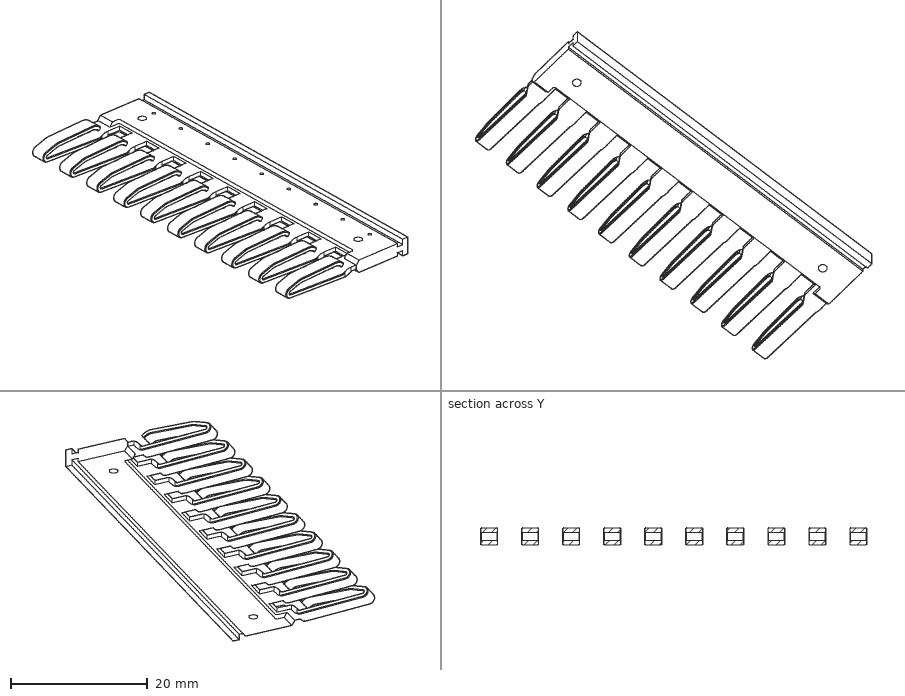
import math

import cadquery as cq


FINGER_COUNT = 10
PITCH = 6.0
LENGTH = 57.5
DEPTH = 23.19

RAIL_DEPTH = 1.0
RAIL_HEIGHT = 2.8
NECK_HEIGHT = 1.0
BODY_REAR = 2.0
BODY_HEIGHT = 2.1
BODY_FRONT = 8.2
END_BLOCK_WIDTH = 2.7
END_BLOCK_FRONT = 10.0
END_CHAMFER_DEPTH = 0.5
END_NOSE_HEIGHT = 0.7
END_CORNER_RADIUS = 0.3

MARK_DIAMETER = 0.5
MARK_DEPTH = 0.5
MARK_SETBACK = 3.25
THROUGH_DIAMETER = 1.25
THROUGH_SETBACK = 5.5

METAL = 0.7
PLATE_FRONT = 8.7
TAB_WIDTH = 3.3
TAPER_START = 11.0
TAPER_END = 12.0

FINGER_WIDTH = 2.5
EDGE_CHAMFER = 0.12
FIRST_BEND = 11.05
SECOND_BEND = 11.9
OFFSET_BEND_RADIUS = 0.7
NOSE_RADIUS = 0.55
NOSE_HEIGHT = 0.04
LOWER_ARM_ANGLE = 2.2
NOSE_ARM_ANGLE = 19.0
KNEE = 20.35
KNEE_RADIUS = 2.4
UPPER_ARM_ANGLE = 2.2
CREST = 13.7
CREST_RADIUS = 10.0
HOOK_BEND = 12.9
HOOK_RADIUS = 1.6
HOOK_TIP = 12.2
HOOK_ANGLE = 40.0

FINGER_POSITIONS = [(i - (FINGER_COUNT - 1) / 2) * PITCH for i in range(FINGER_COUNT)]
GAP_POSITIONS = [x + PITCH / 2 for x in FINGER_POSITIONS[:-1]]


def slope(angle):
    """Rise per unit run of a line at an angle in degrees."""
    return math.tan(math.radians(angle))


def box(width, rear, front, height):
    """Block centred on X and Z, between two distances from the rear face."""
    return cq.Workplane("XY").box(width, front - rear, height).translate((0, -(rear + front) / 2, 0))


def rounded_path(start, bends, end):
    """Path in the YZ plane with a tangent arc at every (corner, radius) in bends."""
    corners = [start] + [corner for corner, _ in bends] + [end]
    path = cq.Workplane("YZ").moveTo(*start)
    for i, (corner, radius) in enumerate(bends, start=1):
        here = cq.Vector(*corner)
        back = (cq.Vector(*corners[i - 1]) - here).normalized()
        ahead = (cq.Vector(*corners[i + 1]) - here).normalized()
        half_angle = back.getAngle(ahead) / 2
        tangent_length = radius / math.tan(half_angle)
        bisector = (back + ahead).normalized()
        arc_start = here + back * tangent_length
        arc_middle = here + bisector * (radius / math.sin(half_angle) - radius)
        arc_end = here + ahead * tangent_length
        path = path.lineTo(arc_start.x, arc_start.y)
        path = path.threePointArc((arc_middle.x, arc_middle.y), (arc_end.x, arc_end.y))
    return path.lineTo(*end)


def finger_bends():
    """Corner points and bend radii of the finger, from the plate to the hook."""
    nose_y = -(DEPTH - METAL / 2 - NOSE_RADIUS)
    half_wedge = math.radians(LOWER_ARM_ANGLE + NOSE_ARM_ANGLE) / 2
    apex_tilt = math.radians(LOWER_ARM_ANGLE - NOSE_ARM_ANGLE) / 2
    apex_distance = NOSE_RADIUS / math.sin(half_wedge)
    apex_y = nose_y - apex_distance * math.cos(apex_tilt)
    apex_z = NOSE_HEIGHT + apex_distance * math.sin(apex_tilt)

    second_z = apex_z - (-SECOND_BEND - apex_y) * slope(LOWER_ARM_ANGLE)
    knee_z = apex_z + (-KNEE - apex_y) * slope(NOSE_ARM_ANGLE)

    crest_z = knee_z + (KNEE - CREST) * slope(UPPER_ARM_ANGLE)
    return [
        ((-FIRST_BEND, 0), OFFSET_BEND_RADIUS),
        ((-SECOND_BEND, second_z), OFFSET_BEND_RADIUS),
        ((apex_y, apex_z), NOSE_RADIUS),
        ((-KNEE, knee_z), KNEE_RADIUS),
        ((-CREST, crest_z), CREST_RADIUS),
        ((-HOOK_BEND, crest_z), HOOK_RADIUS),
    ]


def strip(width, path, chamfer=0):
    """Metal strip swept along a path that starts at the front of the carrier body."""
    section = cq.Sketch().rect(width, METAL)
    if chamfer:
        section = section.vertices().chamfer(chamfer)
    return cq.Workplane("XZ", origin=(0, -BODY_FRONT, 0)).placeSketch(section).sweep(path)


def make_finger():
    """Bent spring finger with the wide, tapered tab that joins it to the plate."""
    start = (-BODY_FRONT, 0)
    bends = finger_bends()
    hook_z = bends[-1][0][1]
    tip = (-HOOK_TIP, hook_z - (HOOK_BEND - HOOK_TIP) * slope(HOOK_ANGLE))
    spring = strip(FINGER_WIDTH, rounded_path(start, bends, tip), EDGE_CHAMFER)

    second_z = bends[1][0][1]
    tab_end = (-KNEE, second_z + (KNEE - SECOND_BEND) * slope(LOWER_ARM_ANGLE))
    tab = strip(TAB_WIDTH, rounded_path(start, bends[:2], tab_end))
    half_tab = TAB_WIDTH / 2
    half_finger = FINGER_WIDTH / 2 - EDGE_CHAMFER
    tab_plan = (
        cq.Workplane("XY")
        .polyline([
            (-half_tab, -BODY_FRONT),
            (half_tab, -BODY_FRONT),
            (half_tab, -TAPER_START),
            (half_finger, -TAPER_END),
            (-half_finger, -TAPER_END),
            (-half_tab, -TAPER_START),
        ])
        .close()
        .extrude(RAIL_HEIGHT, both=True)
    )
    return spring.union(tab.intersect(tab_plan))


def make_carrier():
    """Plastic body with its rear T rail and the two end blocks."""
    rail = box(LENGTH, 0, RAIL_DEPTH, RAIL_HEIGHT)
    neck = box(LENGTH, 0, BODY_REAR, NECK_HEIGHT)
    body = box(LENGTH, BODY_REAR, END_BLOCK_FRONT, BODY_HEIGHT)
    chamfer_height = (BODY_HEIGHT - END_NOSE_HEIGHT) / 2
    body = body.faces("<Y").edges("|X").chamfer(chamfer_height, END_CHAMFER_DEPTH)
    recess = (
        box(LENGTH - 2 * END_BLOCK_WIDTH, BODY_FRONT, DEPTH, RAIL_HEIGHT)
        .edges("|Z and >Y")
        .fillet(END_CORNER_RADIUS)
    )
    return rail.union(neck).union(body.cut(recess))


def drill_holes(part):
    """Blind marks over every gap and through holes over the two outer gaps."""
    marks = (
        cq.Workplane("XY", origin=(0, 0, BODY_HEIGHT / 2 - MARK_DEPTH))
        .pushPoints([(x, -MARK_SETBACK) for x in GAP_POSITIONS])
        .circle(MARK_DIAMETER / 2)
        .extrude(MARK_DEPTH)
    )
    through = (
        cq.Workplane("XY")
        .pushPoints([(x, -THROUGH_SETBACK) for x in (GAP_POSITIONS[0], GAP_POSITIONS[-1])])
        .circle(THROUGH_DIAMETER / 2)
        .extrude(BODY_HEIGHT, both=True)
    )
    return part.cut(marks).cut(through)


plate_width = FINGER_POSITIONS[-1] - FINGER_POSITIONS[0] + TAB_WIDTH
part = make_carrier().union(box(plate_width, BODY_REAR, PLATE_FRONT, METAL))
finger = make_finger()
for x in FINGER_POSITIONS:
    part = part.union(finger.translate((x, 0, 0)))

result = drill_holes(part)